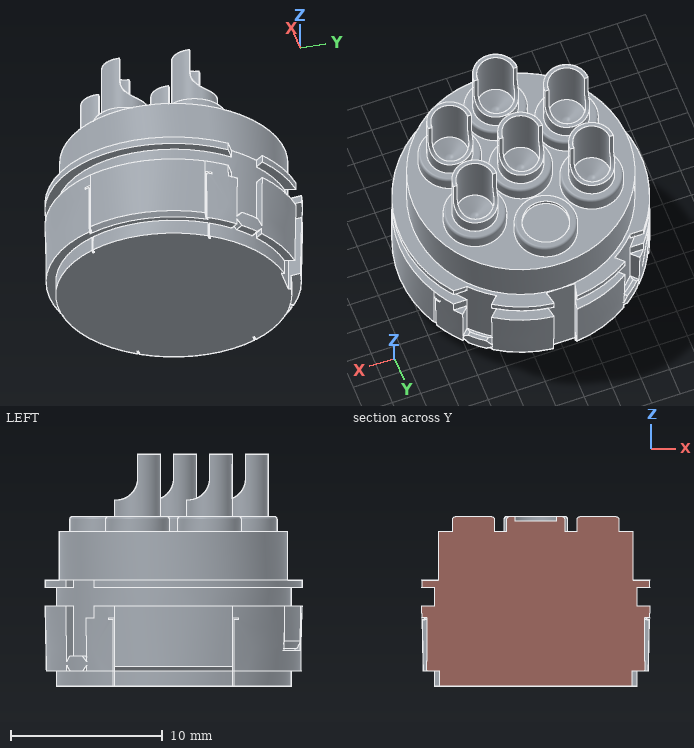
import cadquery as cq
import math

base_top = 1.0
slit_top = 4.5
ring_top = 5.3
flange_bottom = 6.5
flange_top = 7.0
body_top = 10.2
collar_top = 11.2
pin_top = 15.3

main_axis = ((0, 0, 0), (0, 0, 1))
clearance = 0.2

core_radius = 7.78
neck_radius = 7.53
rim_radius = 8.5
ring_low_radius = 8.42

tab_half_width = 3.88
tab_chamfer = 0.3
slit_width = 0.1
slit_depth = 0.3
slit_hook_length = 0.3

panel_angle = -110
panel_width = 3.07
panel_bottom = 2.98
window_bottom = 2.36
window_lip = 2.49
window_lip_depth = 0.25
window_depth = 0.4

key_mouth = 1.6
key_root = 2.0

pocket_angle = 135
pocket_near = -0.33
pocket_far = 1.70
relief_front = 5.25
nub_top = 2.0
nub_chamfer = 0.38

contact_circle = 4.74
collar_radius = 2.1
collar_fillet = 0.2
socket_radius = 1.57
pin_radius = 1.52
bore_radius = 1.25
bore_bottom = 11.2
bore_tip_angle = 118
cup_heel = 12.28
cup_curve = 1.4
blank_recess = 0.3
blank_angle = 90
contact_angles = [30, 150, 210, 270, 330]


def disc(radius, z_low, z_high, x=0, y=0):
    return cq.Workplane("XY", origin=(x, y, z_low)).circle(radius).extrude(z_high - z_low)


def block(x_low, x_high, y_low, y_high, z_low, z_high):
    size = (x_high - x_low, y_high - y_low, z_high - z_low)
    return cq.Workplane("XY", origin=(x_low, y_low, z_low)).box(*size, centered=False)


def revolve_profile(points):
    return cq.Workplane("XZ").polyline(points).close().revolve(360, (0, 0), (0, 1))


def turned_body():
    return revolve_profile([
        (0, 0),
        (core_radius, 0),
        (core_radius, base_top),
        (rim_radius, base_top),
        (rim_radius, ring_top),
        (core_radius, ring_top),
        (core_radius, flange_bottom),
        (rim_radius, flange_bottom),
        (rim_radius, flange_top),
        (neck_radius, flange_top),
        (neck_radius, body_top),
        (0, body_top),
    ])


def ring_taper():
    """Material taken off the lower ring so it narrows downward, sparing the tabs and the panel."""
    slope = (ring_top - base_top) / (rim_radius - ring_low_radius)
    wedge = revolve_profile([
        (ring_low_radius, base_top),
        (rim_radius + clearance, base_top),
        (rim_radius + clearance, ring_top + clearance * slope),
    ])
    reach = rim_radius + 2 * clearance
    tabs = block(-reach, reach, -tab_half_width, tab_half_width, 0, pin_top)
    half = panel_width / 2
    panel = block(0, reach, -half, half, window_bottom, pin_top)
    return wedge.cut(tabs).cut(panel.rotate(*main_axis, panel_angle))


def tab_chamfers():
    """Chamfer wedges along the lower rims of the +X and -X tabs."""
    reach = rim_radius + 2 * clearance
    wedge = revolve_profile([
        (rim_radius - tab_chamfer - clearance, base_top - clearance),
        (rim_radius + clearance, base_top - clearance),
        (rim_radius + clearance, base_top + tab_chamfer + clearance),
    ])
    return wedge.intersect(block(-reach, reach, -tab_half_width, tab_half_width, 0, ring_top))


def tab_slits():
    """Narrow slits along both edges of each tab, hooked outward at the top."""
    reach = rim_radius + clearance
    edge = tab_half_width + slit_width
    hook_end = edge + slit_hook_length
    shell = revolve_profile([
        (core_radius - slit_depth, 0),
        (reach, 0),
        (reach, slit_top),
        (rim_radius - slit_depth, slit_top),
        (rim_radius - slit_depth, base_top),
        (core_radius - slit_depth, base_top),
    ])
    upright = block(-reach, reach, tab_half_width, edge, 0, slit_top)
    hook = block(-reach, reach, edge, hook_end, slit_top - slit_width, slit_top)
    slit = upright.union(hook).intersect(shell)
    return [slit, slit.mirror("XZ")]


def panel_window():
    """Opening under the sloping lip of the snap panel, built on +X and turned into place."""
    window_floor = rim_radius - window_depth
    outer = rim_radius + clearance
    opening = revolve_profile([
        (window_floor, window_bottom),
        (outer, window_bottom),
        (outer, panel_bottom),
        (rim_radius, panel_bottom),
        (rim_radius - window_lip_depth, window_lip),
        (window_floor, window_lip),
    ])
    half = panel_width / 2
    window = opening.intersect(block(0, outer, -half, half, 0, ring_top))
    return window.rotate(*main_axis, panel_angle)


def key_slot():
    mouth_y = math.sqrt(rim_radius**2 - (key_mouth / 2) ** 2)
    flare = (key_root - key_mouth) / 2 / (mouth_y - neck_radius)
    outer_y = rim_radius + clearance
    outer_half = key_mouth / 2 - flare * (outer_y - mouth_y)
    outline = [
        (-key_root / 2, neck_radius),
        (key_root / 2, neck_radius),
        (outer_half, outer_y),
        (-outer_half, outer_y),
    ]
    return cq.Workplane("XY").polyline(outline).close().extrude(flange_top)


def nub():
    """Block at the foot of a pocket, chamfered at its ends and along its inner top edge."""
    inner = core_radius - clearance
    body = (
        cq.Workplane("YZ", origin=(inner, 0, 0))
        .center(-(pocket_near + pocket_far) / 2, (base_top + nub_top) / 2)
        .rect(pocket_far - pocket_near, nub_top - base_top)
        .extrude(rim_radius + clearance - inner)
        .edges("|X")
        .chamfer(nub_chamfer)
    )
    inner_chamfer = revolve_profile([
        (inner, nub_top - nub_chamfer - clearance),
        (core_radius + nub_chamfer + clearance, nub_top + clearance),
        (inner, nub_top + clearance),
    ])
    return body.cut(inner_chamfer)


def corner_pocket():
    """Pocket on the -X +Y corner: a relief through the rims above a slot holding the nub."""
    reach = rim_radius + clearance
    slot = block(0, reach, -pocket_far, -pocket_near, base_top, flange_top)
    slot = slot.rotate(*main_axis, pocket_angle)
    inside_far_wall = block(0, reach, -pocket_far, reach, slit_top, flange_top)
    relief = block(-reach, 0, relief_front, reach, slit_top, flange_top)
    relief = relief.intersect(inside_far_wall.rotate(*main_axis, pocket_angle))
    core = disc(core_radius, 0, flange_top)
    return slot.union(relief).cut(core).cut(nub().rotate(*main_axis, pocket_angle))


def collar(x, y):
    ring = disc(collar_radius, body_top, collar_top, x, y)
    return ring.faces(">Z").edges().fillet(collar_fillet)


def solder_pin(x, y):
    """Round pin with a conical-bottomed bore and its +Y half cut away to form a cup."""
    pin = disc(pin_radius, body_top, pin_top)
    tip_depth = bore_radius / math.tan(math.radians(bore_tip_angle / 2))
    bore = (
        cq.Workplane("XZ")
        .polyline([
            (0, bore_bottom - tip_depth),
            (bore_radius, bore_bottom),
            (bore_radius, pin_top),
            (0, pin_top),
        ])
        .close()
        .revolve(360, (0, 0), (0, 1))
    )
    diagonal = cup_curve * math.sqrt(0.5)
    cutaway = (
        cq.Workplane("YZ", origin=(-pin_radius, 0, 0))
        .moveTo(0, pin_top)
        .lineTo(0, cup_heel + cup_curve)
        .threePointArc(
            (cup_curve - diagonal, cup_heel + cup_curve - diagonal),
            (cup_curve, cup_heel),
        )
        .lineTo(2 * pin_radius, cup_heel)
        .lineTo(2 * pin_radius, pin_top)
        .close()
        .extrude(2 * pin_radius)
    )
    return pin.cut(bore).cut(cutaway).translate((x, y, 0)), bore.translate((x, y, 0))


pocket = corner_pocket()
body = turned_body().cut(ring_taper()).cut(tab_chamfers()).cut(panel_window())
for side_slit in tab_slits():
    body = body.cut(side_slit)
body = body.cut(key_slot()).cut(pocket).cut(pocket.mirror("YZ"))

contact_places = [(0, 0)]
for angle in contact_angles:
    turn = math.radians(angle)
    contact_places.append((contact_circle * math.cos(turn), contact_circle * math.sin(turn)))
for x, y in contact_places:
    pin, bore = solder_pin(x, y)
    body = body.union(collar(x, y)).union(pin).cut(bore)

blank_turn = math.radians(blank_angle)
blank_x = contact_circle * math.cos(blank_turn)
blank_y = contact_circle * math.sin(blank_turn)
body = body.union(collar(blank_x, blank_y))
body = body.cut(disc(socket_radius, collar_top - blank_recess, collar_top, blank_x, blank_y))

result = body